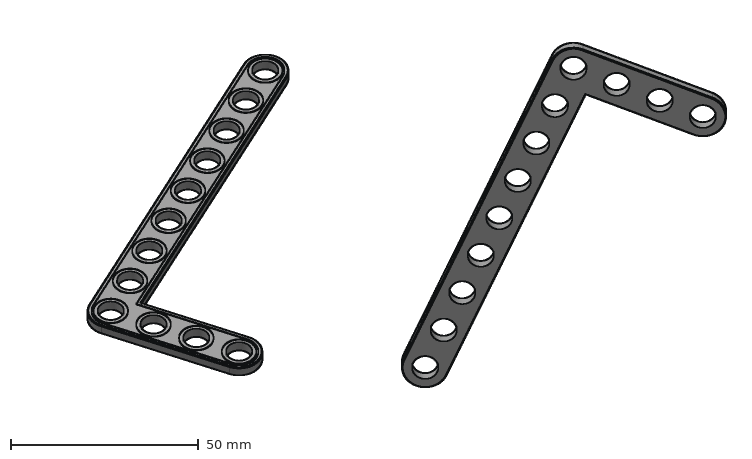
import cadquery as cq

length = 112.5
long_arm_holes = 9
short_arm_holes = 4
pitch = length / long_arm_holes
width = pitch
thickness = 3.2

edge_chamfer = 0.28
hole_diameter = 7.0

recess_depth = 0.2
border_width = 1.1
ring_diameter = 9.2

hole_centers = [(0, row * pitch) for row in range(long_arm_holes)]
hole_centers += [(column * pitch, 0) for column in range(1, short_arm_holes)]


def arm(hole_count, direction, arm_width, height):
    """Round-ended bar running from the corner hole at the origin."""
    span = (hole_count - 1) * pitch
    return (
        cq.Workplane("XY")
        .transformed(rotate=(0, 0, direction))
        .center(span / 2, 0)
        .slot2D(span + arm_width, arm_width)
        .extrude(height)
    )


def angled_plate(arm_width, height):
    """L-shaped plate with the long arm along Y and the short arm along X."""
    long_arm = arm(long_arm_holes, 90, arm_width, height)
    short_arm = arm(short_arm_holes, 0, arm_width, height)
    return long_arm.union(short_arm)


def disks(diameter, height):
    """One disk centered on every hole."""
    return cq.Workplane("XY").pushPoints(hole_centers).circle(diameter / 2).extrude(height)


def recess():
    """Volume removed from the upper face between the border and the rings."""
    floor = angled_plate(width - 2 * border_width, recess_depth)
    rings = disks(ring_diameter, recess_depth)
    return floor.cut(rings).translate((0, 0, thickness - recess_depth))


body = angled_plate(width, thickness).faces("<Z or >Z").chamfer(edge_chamfer)
result = body.cut(recess()).cut(disks(hole_diameter, thickness))